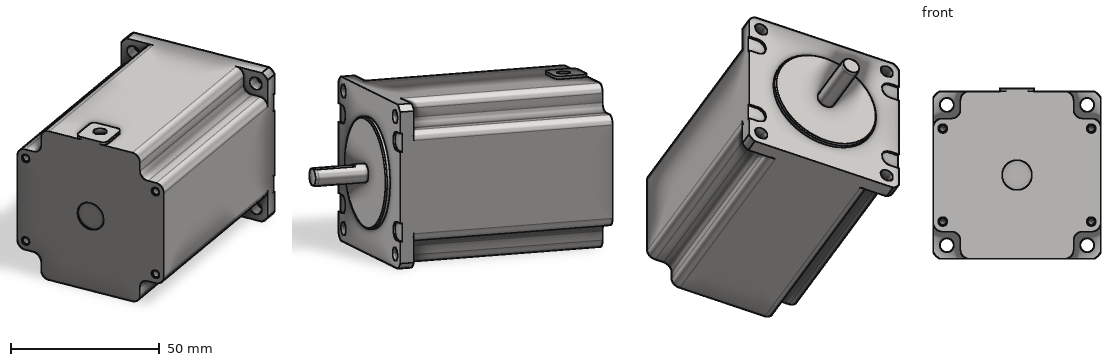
import cadquery as cq
import math


total_length = 97.6
frame_width = 56.4
half_width = frame_width / 2

shaft_length = 20.6
shaft_diameter = 6.4
shaft_tip_length = 1.0
shaft_tip_inset = 0.3
flat_length = 14.8
flat_depth = 0.5

boss_diameter = 38.2
boss_height = 1.6
boss_chamfer = 0.5

flange_thickness = 5.0
mount_hole_offset = 23.6
mount_hole_diameter = 4.6
flange_corner_radius = 5.2

body_length = total_length - shaft_length
rear_face = -body_length
notch_wall = 19.0
notch_radius = 3.0

screw_spacing_x = 50.0
screw_spacing_z = 31.3
screw_diameter = 2.3
screw_countersink_diameter = 3.0
screw_depth = 5.9
drill_tip_angle = 118.0
rear_recess_diameter = 10.1
rear_recess_depth = 0.6

pocket_width = 6.3
pocket_spacing_z = 30.8
pocket_depth = 0.7

pad_size = 11.5
pad_height = 1.0
pad_corner_radius = 2.0
pad_hole_diameter = 4.5
pad_hole_from_rear = 6.6
pad_hole_depth = 2.0


def plane_at(y):
    """Plane facing +Y whose local axes are X and -Z."""
    return cq.Workplane(cq.Plane(origin=(0, y, 0), xDir=(1, 0, 0), normal=(0, 1, 0)))


def turned(x, z, angle):
    """Rotate a point of the flange outline about the motor axis."""
    return (
        x * math.cos(angle) - z * math.sin(angle),
        x * math.sin(angle) + z * math.cos(angle),
    )


def flange_outline():
    """Square whose corners are arcs centred on the mounting holes."""
    edge_reach = half_width - mount_hole_offset
    arc_start = mount_hole_offset + math.sqrt(flange_corner_radius**2 - edge_reach**2)
    arc_middle = mount_hole_offset + flange_corner_radius / math.sqrt(2)
    outline = plane_at(-flange_thickness).moveTo(half_width, -arc_start)
    for quarter in range(4):
        angle = quarter * math.pi / 2
        outline = (
            outline.lineTo(*turned(half_width, arc_start, angle))
            .threePointArc(turned(arc_middle, arc_middle, angle), turned(arc_start, half_width, angle))
        )
    return outline.close()


def make_flange():
    holes = (
        plane_at(-flange_thickness)
        .rect(2 * mount_hole_offset, 2 * mount_hole_offset, forConstruction=True)
        .vertices()
        .circle(mount_hole_diameter / 2)
        .extrude(flange_thickness)
    )
    return flange_outline().extrude(flange_thickness).cut(holes)


def make_face_pockets():
    """Four pockets, each with a round inner end as far out along X as a screw axis."""
    mouth_length = half_width - screw_spacing_x / 2
    mouth_spacing_x = screw_spacing_x + mouth_length
    round_ends = (
        plane_at(-pocket_depth)
        .rect(screw_spacing_x, pocket_spacing_z, forConstruction=True)
        .vertices()
        .circle(pocket_width / 2)
        .extrude(pocket_depth)
    )
    mouths = (
        plane_at(-pocket_depth)
        .rect(mouth_spacing_x, pocket_spacing_z, forConstruction=True)
        .vertices()
        .rect(mouth_length, pocket_width)
        .extrude(pocket_depth)
    )
    return round_ends.union(mouths)


def make_body():
    """Square body with a rounded notch along each corner."""
    notched_length = body_length - flange_thickness
    upright = plane_at(rear_face).rect(2 * notch_wall, frame_width).extrude(notched_length)
    crossbar = plane_at(rear_face).rect(frame_width, 2 * notch_wall).extrude(notched_length)
    return upright.union(crossbar).edges("|Y").fillet(notch_radius)


def make_boss():
    boss = plane_at(0).circle(boss_diameter / 2).extrude(boss_height)
    return boss.faces(">Y").chamfer(boss_chamfer)


def make_shaft():
    shaft = plane_at(0).circle(shaft_diameter / 2).extrude(shaft_length)
    shaft = shaft.faces(">Y").chamfer(shaft_tip_length, shaft_tip_inset)
    flat_cut = cq.Workplane("XY").box(
        shaft_diameter, flat_length, flat_depth, centered=(True, False, False)
    )
    return shaft.cut(flat_cut.translate((0, shaft_length - flat_length, shaft_diameter / 2 - flat_depth)))


def make_pad():
    pad = cq.Workplane("XY").box(pad_size, pad_size, pad_height, centered=(True, False, False))
    pad = pad.edges("|Z").fillet(pad_corner_radius)
    return pad.translate((0, rear_face, half_width))


def make_pad_hole():
    hole = cq.Workplane("XY").circle(pad_hole_diameter / 2).extrude(-pad_hole_depth)
    return hole.translate((0, rear_face + pad_hole_from_rear, half_width + pad_height))


def make_screw_hole():
    """Countersunk blind hole with a drill-tip end, bored along +Y from the origin."""
    radius = screw_diameter / 2
    mouth_radius = screw_countersink_diameter / 2
    countersink_depth = mouth_radius - radius
    tip_length = radius / math.tan(math.radians(drill_tip_angle / 2))
    profile = [
        (0, 0),
        (mouth_radius, 0),
        (radius, countersink_depth),
        (radius, screw_depth),
        (0, screw_depth + tip_length),
    ]
    return cq.Workplane("XY").polyline(profile).close().revolve(360, (0, 0, 0), (0, 1, 0))


def make_screw_holes():
    holes = cq.Workplane("XY")
    for side_x in (-1, 1):
        for side_z in (-1, 1):
            position = (side_x * screw_spacing_x / 2, rear_face, side_z * screw_spacing_z / 2)
            holes = holes.add(make_screw_hole().translate(position))
    return holes.combine()


def make_rear_recess():
    return plane_at(rear_face).circle(rear_recess_diameter / 2).extrude(rear_recess_depth)


result = (
    make_flange()
    .cut(make_face_pockets())
    .union(make_body())
    .union(make_boss())
    .union(make_shaft())
    .union(make_pad())
    .cut(make_pad_hole())
    .cut(make_screw_holes())
    .cut(make_rear_recess())
    .solids()
)